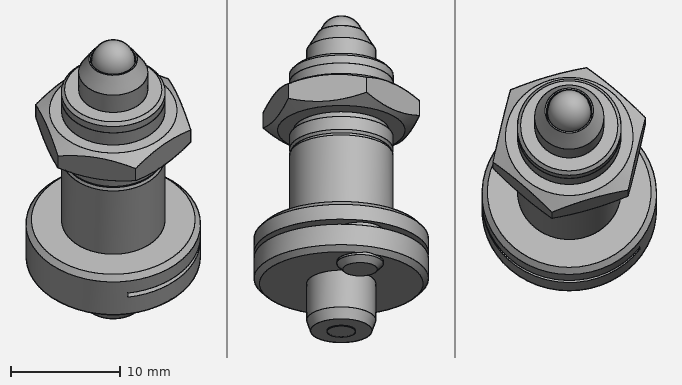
import cadquery as cq
import math

total_height = 31.25
head_bottom = 4.78
head_height = 5.0
head_top = head_bottom + head_height
body_top = 25.8
nut_bottom = 20.03
nut_height = 3.2
neck_bottom = 19.4

pin_radius = 6.35 / 2
pin_tip_radius = 2.8
pin_foot_radius = 1.3
pin_foot_height = 0.1
pin_taper_height = 1.12
pin_shoulder = 27.95
pin_top = 29.53
pin_top_radius = 2.22
ball_radius = 2.0
ball_seat_radius = 4.15 / 2
ball_seat_depth = 0.5

body_radius = 9.5 / 2
body_chamfer = 0.3
collar_radius = 9.53 / 2
collar_bottom = 24.72
neck_radius = 8.75 / 2
groove_bottom = 17.55
groove_top = 18.12
groove_depth = 0.15

head_radius = 16.0 / 2
head_chamfer = 0.5
slot_bottom = 7.3
slot_height = 0.5
slot_end_y = -4.75

screw_y = 5.45
screw_radius = 4.28 / 2
screw_bottom = 4.03
screw_chamfer = 0.55

nut_across_flats = 12.7
nut_corner_radius = nut_across_flats / math.sqrt(3)
nut_face_radius = 5.85
nut_chamfer_height = (nut_corner_radius - nut_face_radius) * math.tan(math.radians(30))


def cylinder(radius, bottom, top):
    return cq.Workplane("XY").workplane(offset=bottom).circle(radius).extrude(top - bottom)


def revolve_about_z(profile):
    return profile.close().revolve(360, (0, 0, 0), (0, 1, 0))


def make_pin():
    profile = (
        cq.Workplane("XZ")
        .moveTo(0, 0)
        .lineTo(pin_foot_radius, 0)
        .lineTo(pin_foot_radius, pin_foot_height)
        .lineTo(pin_tip_radius, pin_foot_height)
        .lineTo(pin_radius, pin_taper_height)
        .lineTo(pin_radius, pin_shoulder)
        .lineTo(pin_top_radius, pin_top)
        .lineTo(ball_seat_radius, pin_top)
        .lineTo(ball_seat_radius, pin_top - ball_seat_depth)
        .lineTo(0, pin_top - ball_seat_depth)
    )
    ball = cq.Workplane("XY").sphere(ball_radius).translate((0, 0, total_height - ball_radius))
    return revolve_about_z(profile).union(ball)


def make_body():
    profile = (
        cq.Workplane("XZ")
        .moveTo(0, head_bottom)
        .lineTo(body_radius, head_bottom)
        .lineTo(body_radius, groove_bottom)
        .lineTo(body_radius - groove_depth, (groove_bottom + groove_top) / 2)
        .lineTo(body_radius, groove_top)
        .lineTo(body_radius, neck_bottom)
        .lineTo(neck_radius, neck_bottom)
        .lineTo(neck_radius, nut_bottom)
        .lineTo(body_radius, nut_bottom)
        .lineTo(body_radius, collar_bottom)
        .lineTo(collar_radius, collar_bottom)
        .lineTo(collar_radius, body_top - body_chamfer)
        .lineTo(collar_radius - body_chamfer, body_top)
        .lineTo(0, body_top)
    )
    return revolve_about_z(profile)


def make_nut():
    hexagon = (
        cq.Workplane("XY")
        .workplane(offset=nut_bottom)
        .polygon(6, 2 * nut_corner_radius)
        .extrude(nut_height)
        .rotate((0, 0, 0), (0, 0, 1), 30)
    )
    nut_top = nut_bottom + nut_height
    double_cone = revolve_about_z(
        cq.Workplane("XZ")
        .moveTo(0, nut_bottom)
        .lineTo(nut_face_radius, nut_bottom)
        .lineTo(nut_corner_radius, nut_bottom + nut_chamfer_height)
        .lineTo(nut_corner_radius, nut_top - nut_chamfer_height)
        .lineTo(nut_face_radius, nut_top)
        .lineTo(0, nut_top)
    )
    return hexagon.intersect(double_cone)


def make_slot():
    slot_length = head_radius - slot_end_y
    return cq.Workplane("XY").box(
        2 * head_radius, slot_length, slot_height, centered=(True, False, False)
    ).translate((0, slot_end_y, slot_bottom))


def make_screw():
    shank = cylinder(screw_radius, screw_bottom, slot_bottom + slot_height)
    return shank.faces("<Z").chamfer(screw_chamfer).translate((0, screw_y, 0))


head = cylinder(head_radius, head_bottom, head_top).edges().chamfer(head_chamfer)
result = head.union(make_body()).cut(make_slot())
for component in (make_pin(), make_nut(), make_screw()):
    result = result.union(component)